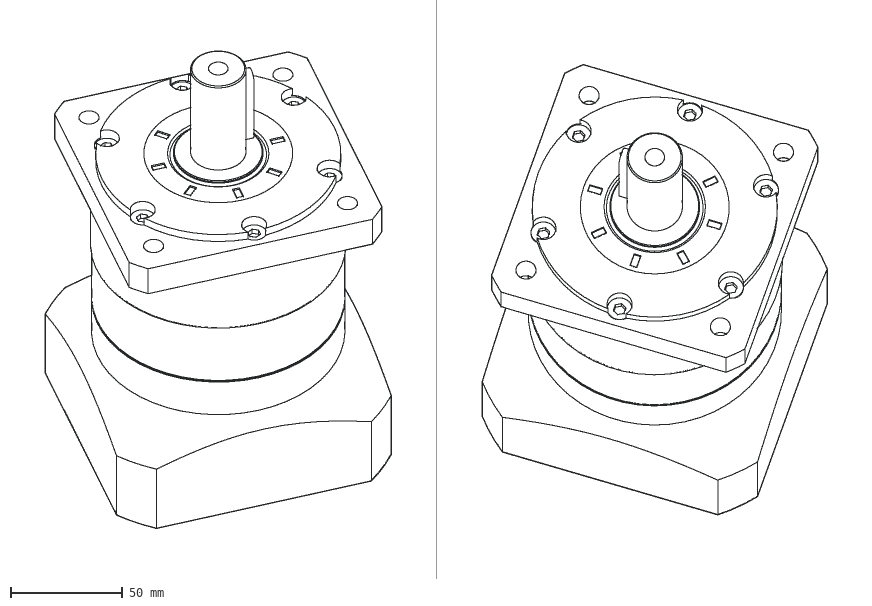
import cadquery as cq
import math


cone_top_z = 50.5
ring_gear_z = 70.7
housing_z = 103.0
flange_z = 138.0
flange_top_z = 152.9
pilot_top_z = 157.0
collar_top_z = 158.0
shaft_top_z = 208.0

adapter_width_x = 130.0
adapter_width_y = 130.2
adapter_corner_d = 165.2
corner_z = 36.2
foot_chamfer = 0.6
neck_d = 114.0
joint_groove_height = 0.6
joint_groove_depth = 0.5

housing_d = 115.0
flange_width = 119.8
flange_corner_d = 160.2
pilot_d = 110.2
mount_hole_d = 9.0
mount_hole_count = 4
mount_hole_circle_d = 130.0
mount_hole_start_angle = 45.0

screw_count = 6
screw_circle_d = 102.3
screw_recess_d = 11.2
screw_recess_depth = 0.8
screw_recess_floor_z = flange_top_z - screw_recess_depth
socket_flats = 5.0
socket_depth = 2.5

nut_d = 67.0
nut_height = 8.3
nut_bore_d = 45.5
nut_slot_count = 8
nut_slot_width = 3.1
nut_slot_inner_r = 25.2
nut_slot_outer_r = 31.2
nut_slot_depth = 0.8
recess_floor_z = pilot_top_z - nut_height

shaft_d = 25.0
shaft_chamfer = 0.6
collar_d = 40.4
collar_chamfer = 0.5
seal_groove_d = 43.5
seal_groove_depth = 0.8
centre_hole_d = 8.7
centre_hole_depth = 25.0
drill_point_angle = 118.0
key_width = 8.0
key_length = 40.0
key_height = 7.0
key_outer_y = 15.5
key_top_gap = 5.0
key_centre_z = shaft_top_z - key_top_gap - key_length / 2


def cylinder(diameter, bottom_z, top_z):
    return cq.Workplane("XY").workplane(offset=bottom_z).circle(diameter / 2).extrude(top_z - bottom_z)


def block(width_x, width_y, bottom_z, top_z):
    return cq.Workplane("XY").workplane(offset=bottom_z).rect(width_x, width_y).extrude(top_z - bottom_z)


def revolved(profile):
    """Solid of revolution about Z from (radius, height) points."""
    return cq.Workplane("XZ").polyline(profile).close().revolve(360, (0, 0), (0, 1))


def make_adapter():
    corner_r = adapter_corner_d / 2
    neck_r = neck_d / 2
    groove_r = neck_r - joint_groove_depth
    groove_z = ring_gear_z - joint_groove_height
    turned = revolved(
        [
            (0, 0),
            (corner_r, 0),
            (corner_r, corner_z),
            (neck_r, cone_top_z),
            (neck_r, groove_z),
            (groove_r, groove_z),
            (groove_r, ring_gear_z),
            (0, ring_gear_z),
        ]
    )
    adapter = turned.intersect(block(adapter_width_x, adapter_width_y, 0, ring_gear_z))
    return adapter.faces("<Z").edges().chamfer(foot_chamfer)


def make_ring_gear():
    return cylinder(neck_d, ring_gear_z, housing_z)


def make_housing():
    flange = block(flange_width, flange_width, flange_z, flange_top_z).intersect(
        cylinder(flange_corner_d, flange_z, flange_top_z)
    )
    housing = cylinder(housing_d, housing_z, flange_z).union(flange)
    housing = housing.union(cylinder(pilot_d, flange_top_z, pilot_top_z))
    housing = housing.cut(cylinder(nut_d, recess_floor_z, pilot_top_z))

    mount_holes = (
        cq.Workplane("XY")
        .workplane(offset=flange_z)
        .polarArray(mount_hole_circle_d / 2, mount_hole_start_angle, 360, mount_hole_count)
        .circle(mount_hole_d / 2)
        .extrude(flange_top_z - flange_z)
    )

    screw_plane = cq.Workplane("XY").workplane(offset=screw_recess_floor_z)
    screw_recesses = (
        screw_plane.polarArray(screw_circle_d / 2, 0, 360, screw_count)
        .circle(screw_recess_d / 2)
        .extrude(pilot_top_z - screw_recess_floor_z)
    )
    socket_corner_d = socket_flats / math.cos(math.pi / 6)
    sockets = (
        screw_plane.polarArray(screw_circle_d / 2, 0, 360, screw_count)
        .polygon(6, socket_corner_d)
        .extrude(-socket_depth)
    )
    return housing.cut(mount_holes).cut(screw_recesses).cut(sockets)


def make_nut():
    nut = cylinder(nut_d, recess_floor_z, pilot_top_z).cut(cylinder(nut_bore_d, recess_floor_z, pilot_top_z))
    slots = (
        cq.Workplane("XY")
        .workplane(offset=pilot_top_z)
        .polarArray((nut_slot_inner_r + nut_slot_outer_r) / 2, 0, 360, nut_slot_count)
        .rect(nut_slot_outer_r - nut_slot_inner_r, nut_slot_width)
        .extrude(-nut_slot_depth)
    )
    return nut.cut(slots)


def make_seal():
    """Ring between collar and nut, with a V groove in its upper face."""
    inner_r = collar_d / 2
    outer_r = nut_bore_d / 2
    return revolved(
        [
            (inner_r, recess_floor_z),
            (outer_r, recess_floor_z),
            (outer_r, pilot_top_z),
            (seal_groove_d / 2, pilot_top_z - seal_groove_depth),
            (inner_r, pilot_top_z),
        ]
    )


def make_key():
    return (
        cq.Workplane("XZ", origin=(0, key_outer_y, key_centre_z))
        .slot2D(key_length, key_width, 90)
        .extrude(key_height)
    )


def make_shaft(key):
    shaft_r = shaft_d / 2
    collar_r = collar_d / 2
    hole_r = centre_hole_d / 2
    hole_floor_z = shaft_top_z - centre_hole_depth
    hole_tip_z = hole_floor_z - hole_r / math.tan(math.radians(drill_point_angle / 2))
    shaft = revolved(
        [
            (0, recess_floor_z),
            (collar_r, recess_floor_z),
            (collar_r, collar_top_z - collar_chamfer),
            (collar_r - collar_chamfer, collar_top_z),
            (shaft_r, collar_top_z),
            (shaft_r, shaft_top_z - shaft_chamfer),
            (shaft_r - shaft_chamfer, shaft_top_z),
            (hole_r, shaft_top_z),
            (hole_r, hole_floor_z),
            (0, hole_tip_z),
        ]
    )
    return shaft.cut(key)


adapter = make_adapter()
ring_gear = make_ring_gear()
housing = make_housing()
nut = make_nut()
seal = make_seal()
key = make_key()
shaft = make_shaft(key)

result = cq.Compound.makeCompound(
    [
        adapter.val(),
        ring_gear.val(),
        housing.val(),
        nut.val(),
        seal.val(),
        shaft.val(),
        key.val(),
    ]
)